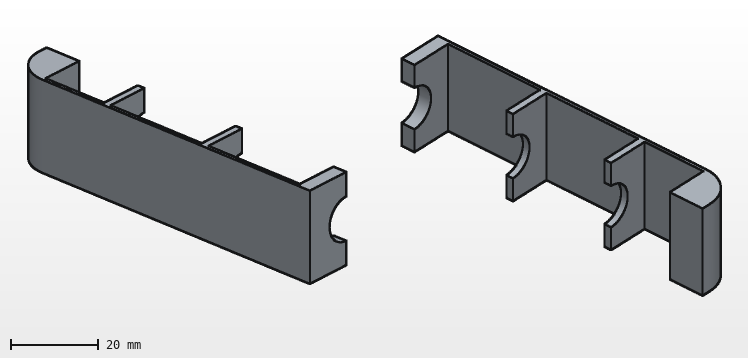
import cadquery as cq

length = 92.0
depth = 12.5
height = 24.0

wall = 1.0
corner_radius = 10.0
block_length = corner_radius

rib_thickness = 2.0
end_rib_thickness = 4.0
first_rib_x = 28.0
rib_pitch = 30.0
rib_count = 2

notch_radius = 5.7


def box_at(x, size_x, size_y):
    """Full-height box starting at x on the front plane."""
    return cq.Workplane("XY").box(size_x, size_y, height, centered=False).translate((x, 0, 0))


body = box_at(0, length, wall)

body = body.union(box_at(0, block_length, depth))

for index in range(rib_count):
    body = body.union(box_at(first_rib_x + index * rib_pitch, rib_thickness, depth))
body = body.union(box_at(length - end_rib_thickness, end_rib_thickness, depth))

corner_edge = cq.selectors.BoxSelector((-0.1, -0.1, -0.1), (0.1, 0.1, height + 0.1))
body = body.edges(corner_edge).fillet(corner_radius)

notch = (
    cq.Workplane("YZ", origin=(block_length, 0, 0))
    .center(depth, height / 2)
    .circle(notch_radius)
    .extrude(length - block_length)
)

result = body.cut(notch)